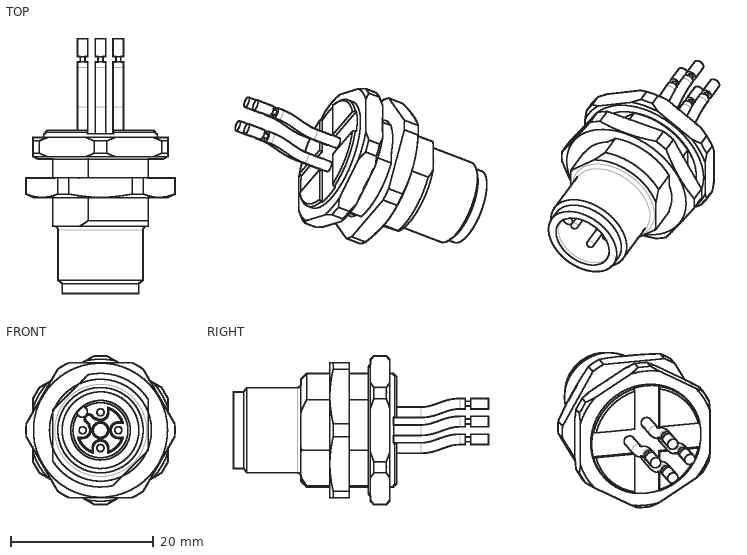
import cadquery as cq
import math

total_length = 35.85

body_radius = 8.0
body_front = 9.45
body_back = 22.98
body_front_chamfer = 0.82
body_back_chamfer = 0.3
body_flat_distance = 6.75
body_flat_angles = (0, 135, 180, 315)
notch_width = 3.7
notch_depth = 0.45

barrel_radius = 12.0 / 2
barrel_fillet = 0.45
barrel_chamfer_start = 1.9
barrel_chamfer_end = 1.45
tip_radius = 10.8 / 2

mouth_radius = 8.4 / 2
bore_radius = 4.12
mouth_flare_depth = 0.5
bore_depth = 9.0
insert_radius = 3.87
key_radius = 1.5 / 2
key_offset = 3.65
key_angle = 135
key_front = mouth_flare_depth

pocket_depth = 0.35
pocket_draft = 25.0
pocket_radius = 3.37
pocket_hub_radius = 2.0 / 2
pocket_lobe_radius = 2.0 / 2
short_arm_inner_radius = 1.85
short_arm_tip_radius = 0.65
short_arm_tip_offset = 2.33

pin_radius = 1.0 / 2
pin_circle_radius = 2.5
pin_tip = 1.95
pin_angles = (0, 90, 180, 270)

hex_across_flats = 19.0
hex_corner_diameter = 20.97
flange_corner_flats = 20.9
flange_front = 19.25
flange_back = 21.98
flange_chamfer = 0.5
nut_front = 13.5
nut_back = 16.28
nut_chamfer_length = 0.5
nut_hole_radius = 7.17
nut_face_radius = 9.43

ring_tube_radius = 0.68
ring_radius = body_radius + ring_tube_radius
ring_protrusion = 0.32

wire_radius = 1.5 / 2
core_radius = 0.7 / 2
wire_rise = 1.22
bend_start = 26.3
bend_end = 31.85
insulation_end = 32.6
sleeve_start = 33.35

embed = 0.7


def turned(profile):
    """Solid of revolution about Y from (radius, y) points."""
    return cq.Workplane("XY").polyline(profile).close().revolve(360, (0, 0, 0), (0, 1, 0))


def section(y):
    """Workplane across the axis at y, with local x = X and local y = Z."""
    return cq.Workplane("XZ", origin=(0, y, 0))


def cylinder(radius, y_start, y_end, x=0.0, z=0.0):
    return section(y_start).center(x, z).circle(radius).extrude(y_start - y_end)


def hexagon(across_flats, y_start, y_end, turn):
    """Hexagonal prism; a corner points along +X when turn is 0."""
    corner_circle = across_flats / math.cos(math.pi / 6)
    prism = section(y_start).polygon(6, corner_circle).extrude(y_start - y_end)
    return prism.rotate((0, 0, 0), (0, 1, 0), turn)


def on_circle(radius, angle):
    return radius * math.cos(math.radians(angle)), radius * math.sin(math.radians(angle))


def make_body():
    body = turned([
        (0, body_front),
        (body_radius - body_front_chamfer, body_front),
        (body_radius, body_front + body_front_chamfer),
        (body_radius, body_back - body_back_chamfer),
        (body_radius - body_back_chamfer, body_back),
        (0, body_back),
    ])
    flat_length = flange_front - body_front
    flat_middle = (flange_front + body_front) / 2
    for angle in body_flat_angles:
        cutter = (
            cq.Workplane("XY")
            .box(body_radius, flat_length, 2 * body_radius)
            .translate((body_flat_distance + body_radius / 2, flat_middle, 0))
            .rotate((0, 0, 0), (0, 1, 0), -angle)
        )
        body = body.cut(cutter)
    notch_middle = body_back - notch_depth / 2
    for size_x, size_z in ((notch_width, 3 * body_radius), (3 * body_radius, notch_width)):
        notch = cq.Workplane("XY").box(size_x, notch_depth, size_z)
        body = body.cut(notch.translate((0, notch_middle, 0)))
    return body


def make_barrel():
    """Plug barrel, with a concave fillet where it meets the body."""
    fillet_middle = barrel_fillet * (1 - math.sqrt(0.5))
    return (
        cq.Workplane("XY")
        .moveTo(0, 0)
        .lineTo(tip_radius, 0)
        .lineTo(tip_radius, barrel_chamfer_end)
        .lineTo(barrel_radius, barrel_chamfer_start)
        .lineTo(barrel_radius, body_front - barrel_fillet)
        .threePointArc(
            (barrel_radius + fillet_middle, body_front - fillet_middle),
            (barrel_radius + barrel_fillet, body_front),
        )
        .lineTo(barrel_radius + barrel_fillet, body_front + embed)
        .lineTo(0, body_front + embed)
        .close()
        .revolve(360, (0, 0, 0), (0, 1, 0))
    )


def make_flange():
    flange = hexagon(hex_across_flats, flange_front, flange_back, 30)
    flange = flange.intersect(hexagon(flange_corner_flats, flange_front, flange_back, 0))
    rim_radius = hex_corner_diameter / 2
    chamfered = turned([
        (0, flange_front),
        (rim_radius - flange_chamfer, flange_front),
        (rim_radius, flange_front + flange_chamfer),
        (rim_radius, flange_back - flange_chamfer),
        (rim_radius - flange_chamfer, flange_back),
        (0, flange_back),
    ])
    return flange.intersect(chamfered)


def make_nut():
    """Nut whose hole leaves narrow gaps over the flats of the body."""
    rim_radius = hex_corner_diameter / 2
    chamfered = turned([
        (nut_hole_radius, nut_front),
        (nut_face_radius, nut_front),
        (rim_radius, nut_front + nut_chamfer_length),
        (rim_radius, nut_back),
        (nut_hole_radius, nut_back),
    ])
    return hexagon(hex_across_flats, nut_front, nut_back, 0).intersect(chamfered)


def make_sealing_ring():
    ring_centre = flange_front - ring_protrusion + ring_tube_radius
    return (
        cq.Workplane("XY")
        .center(ring_radius, ring_centre)
        .circle(ring_tube_radius)
        .revolve(360, (-ring_radius, 0, 0), (-ring_radius, 1, 0))
    )


def make_bore():
    """Bore with a flared mouth, narrowing slightly towards the insert face."""
    return turned([
        (0, 0),
        (mouth_radius, 0),
        (bore_radius, mouth_flare_depth),
        (insert_radius, bore_depth),
        (0, bore_depth),
    ])


def make_relief_pocket():
    """Shallow drafted pocket: three wide arms and one short arm around a central hub."""
    def sunk(outline, draft):
        return outline.extrude(-pocket_depth, taper=draft)

    quarter_block = (
        section(bore_depth)
        .center(-pocket_radius / 2, pocket_radius / 2)
        .rect(pocket_radius, pocket_radius)
        .extrude(-pocket_depth)
    )
    pocket = sunk(section(bore_depth).circle(pocket_radius), pocket_draft).cut(quarter_block)
    pocket = pocket.union(sunk(section(bore_depth).circle(short_arm_inner_radius), pocket_draft))
    arm_width = 2 * short_arm_tip_radius
    short_arm = (
        section(bore_depth)
        .transformed(rotate=(0, 0, key_angle))
        .center(short_arm_tip_offset / 2, 0)
        .slot2D(short_arm_tip_offset + arm_width, arm_width)
    )
    pocket = pocket.union(sunk(short_arm, pocket_draft))

    pocket = pocket.cut(sunk(section(bore_depth).circle(pocket_hub_radius), -pocket_draft))
    for angle in pin_angles:
        lobe = (
            section(bore_depth)
            .moveTo(pocket_radius + embed, -pocket_lobe_radius)
            .lineTo(pin_circle_radius, -pocket_lobe_radius)
            .threePointArc(
                (pin_circle_radius - pocket_lobe_radius, 0),
                (pin_circle_radius, pocket_lobe_radius),
            )
            .lineTo(pocket_radius + embed, pocket_lobe_radius)
            .close()
        )
        pocket = pocket.cut(sunk(lobe, -pocket_draft).rotate((0, 0, 0), (0, 1, 0), angle))
    return pocket


def make_key():
    """Coding key along the upper left wall of the bore."""
    key_x, key_z = on_circle(key_offset, key_angle)
    key = cylinder(key_radius, key_front, bore_depth + embed, key_x, key_z)
    return key.intersect(cylinder(mouth_radius, key_front, bore_depth + embed))


def make_pin(x, z):
    """Contact pin with a hemispherical tip."""
    pin = cylinder(pin_radius, pin_tip + pin_radius, bore_depth + embed, x, z)
    tip = cq.Workplane("XY").sphere(pin_radius).translate((x, pin_tip + pin_radius, z))
    return pin.union(tip)


def make_wire(x, z):
    """Wire with an S-bend towards +Z, a stripped neck and an end sleeve."""
    start = body_back - notch_depth - embed
    end_z = z + wire_rise
    path = (
        cq.Workplane("YZ", origin=(x, 0, 0))
        .moveTo(start, z)
        .lineTo(bend_start, z)
        .spline([(bend_end, end_z)], tangents=[(1, 0), (1, 0)], includeCurrent=True)
        .lineTo(insulation_end, end_z)
    )
    insulation = section(start).center(x, z).circle(wire_radius).sweep(path)
    neck = cylinder(core_radius, insulation_end - embed / 2, sleeve_start + embed / 2, x, end_z)
    sleeve = cylinder(wire_radius, sleeve_start, total_length, x, end_z)
    return insulation.union(neck).union(sleeve)


result = make_body().union(make_barrel()).union(make_flange()).union(make_nut())
result = result.union(make_sealing_ring())
result = result.cut(make_bore()).cut(make_relief_pocket()).union(make_key())
for pin_angle in pin_angles:
    pin_x, pin_z = on_circle(pin_circle_radius, pin_angle)
    result = result.union(make_pin(pin_x, pin_z)).union(make_wire(pin_x, pin_z))